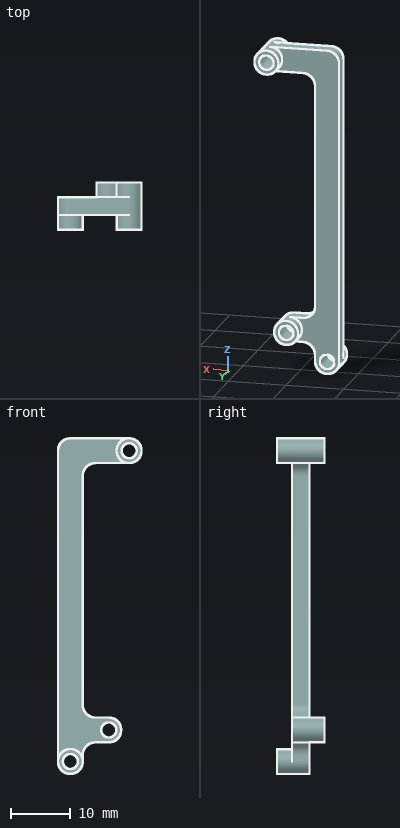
import cadquery as cq

arm_width = 4.2
hole_diameter = 2.5
plate_thickness = 3.0
boss_height = 2.5
inner_fillet = arm_width / 2

lower_hole = (0.0, 0.0)
middle_hole = (6.45, 5.3)
upper_hole = (9.87, 52.21)

end_radius = arm_width / 2
front_face = -plate_thickness / 2
back_face = plate_thickness / 2


def segment(start, end):
    """Square-ended horizontal or upright plate segment between two points in XZ."""
    (x0, z0), (x1, z1) = start, end
    horizontal = z0 == z1
    size_x = x1 - x0 if horizontal else arm_width
    size_z = arm_width if horizontal else z1 - z0
    return (
        cq.Workplane("XY")
        .box(size_x, plate_thickness, size_z)
        .translate(((x0 + x1) / 2, 0, (z0 + z1) / 2))
    )


def cylinder(center, diameter, y_start, y_end):
    """Cylinder along Y around a point in XZ, between two Y positions."""
    x, z = center
    axis_plane = cq.Plane(origin=(x, y_start, z), xDir=(-1, 0, 0), normal=(0, 1, 0))
    return cq.Workplane(axis_plane).circle(diameter / 2).extrude(y_end - y_start)


def make_plate():
    """Upright bar with an arm at the top and a short arm near the foot."""
    bar_x = lower_hole[0]
    top_corner = (bar_x, upper_hole[1])
    middle_root = (bar_x, middle_hole[1])
    plate = (
        segment(lower_hole, top_corner)
        .union(segment(top_corner, upper_hole))
        .union(segment(middle_root, middle_hole))
    )
    inner_x = bar_x + end_radius
    corner_heights = (
        upper_hole[1] - end_radius,
        middle_hole[1] + end_radius,
        middle_hole[1] - end_radius,
    )
    for z in corner_heights:
        corner = cq.selectors.NearestToPointSelector((inner_x, 0, z))
        plate = plate.edges("|Y").edges(corner).fillet(inner_fillet)
    for center in (lower_hole, middle_hole, upper_hole, top_corner):
        plate = plate.union(cylinder(center, arm_width, front_face, back_face))
    return plate


def add_bosses(body):
    """Raise round bosses on the front or back face around the holes."""
    for center in (lower_hole, upper_hole):
        body = body.union(cylinder(center, arm_width, front_face - boss_height, front_face))
    for center in (middle_hole, upper_hole):
        body = body.union(cylinder(center, arm_width, back_face, back_face + boss_height))
    return body


def drill_holes(body):
    """Drill every hole right through the plate and its bosses."""
    for center in (lower_hole, middle_hole, upper_hole):
        body = body.cut(
            cylinder(center, hole_diameter, front_face - boss_height, back_face + boss_height)
        )
    return body


result = drill_holes(add_bosses(make_plate()))